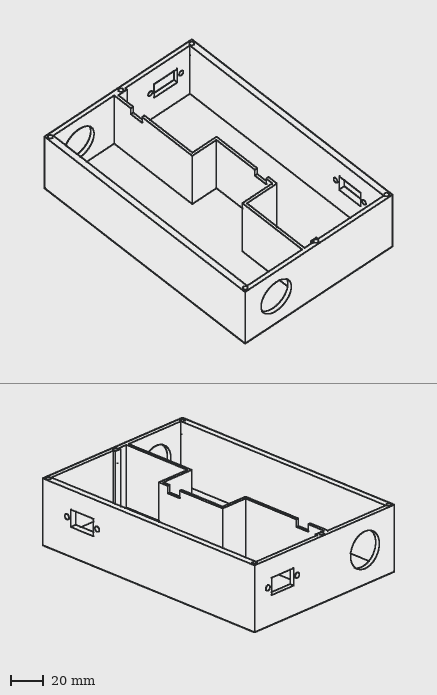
import cadquery as cq

length = 180
width = 122.0
height = 45
end_wall = 3.0
side_wall = 4.5
floor = 3.0

partition_wall = 2.0
left_run_back = 56.9
middle_run_back = 76.9
right_run_front = 50.0
step_left = 71.1
step_right = 125.3

notch_width = 10.0
notch_depth = 5.0
left_notch_start = 18.0
middle_notch_start = 107.6

screw_diameter = 3.0
screw_depth = 9
screw_inset = 2.5
post_reach = 4.7
left_post_back = 64.0
right_post_front = 58.7
right_post_back = 63.4

connector_width = 19.3
connector_height = 11.7
connector_z = 26.0
connector_screw_spacing = 25.5
connector_screw_diameter = 3.6
left_connector_y = 97.5
back_connector_x = 146.5
port_diameter = 25.0
port_y = 25.7
port_z = 23.2


def block(x_start, x_end, y_start, y_end, z_start=0, z_end=height):
    """Box between the given limits on each axis."""
    size = (x_end - x_start, y_end - y_start, z_end - z_start)
    return cq.Workplane("XY").box(*size, centered=False).translate((x_start, y_start, z_start))


def make_shell():
    outside = block(0, length, 0, width)
    cavity = block(end_wall, length - end_wall, side_wall, width - side_wall, floor)
    return outside.cut(cavity)


def make_partition():
    left_run_front = left_run_back - partition_wall
    middle_run_front = middle_run_back - partition_wall
    right_run_back = right_run_front + partition_wall
    step_left_inner = step_left + partition_wall
    step_right_inner = step_right - partition_wall
    outline = [
        (0, left_run_front),
        (step_left_inner, left_run_front),
        (step_left_inner, middle_run_front),
        (step_right_inner, middle_run_front),
        (step_right_inner, right_run_front),
        (length, right_run_front),
        (length, right_run_back),
        (step_right, right_run_back),
        (step_right, middle_run_back),
        (step_left, middle_run_back),
        (step_left, left_run_back),
        (0, left_run_back),
    ]
    partition = cq.Workplane("XY").polyline(outline).close().extrude(height)
    for x_start, back in ((left_notch_start, left_run_back), (middle_notch_start, middle_run_back)):
        notch = block(x_start, x_start + notch_width, back - partition_wall, back, height - notch_depth)
        partition = partition.cut(notch)
    return partition


def make_posts():
    left = block(0, post_reach, left_run_back - partition_wall, left_post_back)
    right = block(length - post_reach, length, right_post_front, right_post_back)
    return left.union(right)


def make_lid_screw_holes():
    middle_y = (right_post_front + right_post_back) / 2
    points = [
        (x, y)
        for x in (screw_inset, length - screw_inset)
        for y in (screw_inset, middle_y, width - screw_inset)
    ]
    top = cq.Workplane("XY", origin=(0, 0, height))
    return top.pushPoints(points).circle(screw_diameter / 2).extrude(-screw_depth)


def make_connector_cutter(plane, depth):
    """Rectangular opening with a screw hole on either side, cut inward from a wall face."""
    half_spacing = connector_screw_spacing / 2
    opening = cq.Workplane(plane).rect(connector_width, connector_height).extrude(-depth)
    screws = cq.Workplane(plane).pushPoints([(-half_spacing, 0), (half_spacing, 0)])
    return opening.union(screws.circle(connector_screw_diameter / 2).extrude(-depth))


left_face = cq.Plane(origin=(0, left_connector_y, connector_z), xDir=(0, -1, 0), normal=(-1, 0, 0))
back_face = cq.Plane(origin=(back_connector_x, width, connector_z), xDir=(-1, 0, 0), normal=(0, 1, 0))
ports = cq.Workplane("YZ").center(port_y, port_z).circle(port_diameter / 2).extrude(length)

result = make_shell().union(make_partition()).union(make_posts())
result = result.cut(make_lid_screw_holes())
result = result.cut(make_connector_cutter(left_face, end_wall))
result = result.cut(make_connector_cutter(back_face, side_wall))
result = result.cut(ports)